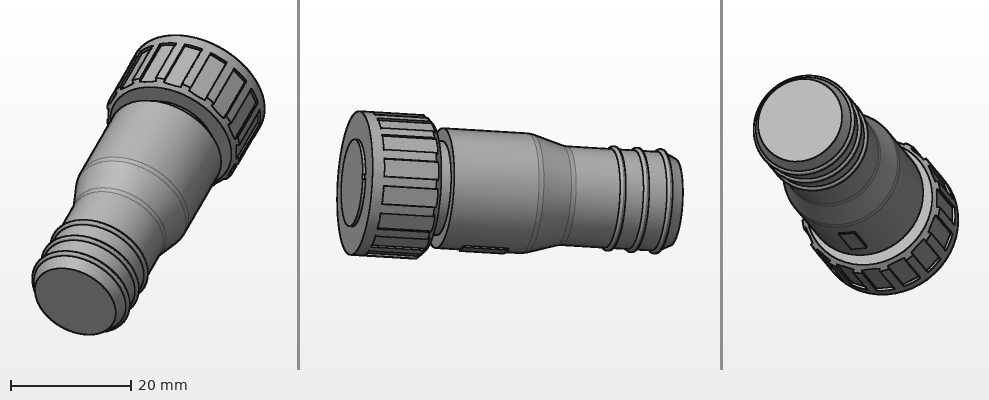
import cadquery as cq

TOTAL_LENGTH = 55.0

TAIL_RADIUS = 8.25
TAIL_TIP_RADIUS = 7.25
TAIL_TIP_LENGTH = 2.05
RING_RADIUS = 0.5
RING_PITCH = 4.0
RING_COUNT = 3

BODY_RADIUS = 10.0
NECK_RADIUS = 7.85
TAPER_START = 19.1
TAPER_LENGTH = 5.95
TAPER_FILLET = 3.0
BODY_END = 40.0
SELECTION_MARGIN = 0.55

NUT_RADIUS = 12.0
NUT_START = 42.4
NUT_CHAMFER = 1.1
NUT_COLLAR = 2.05
GRIP_COUNT = 16
GRIP_WIDTH = 3.1
GRIP_DEPTH = 0.5

INSERT_RADIUS = 7.25
INSERT_HEIGHT = 0.5
KEY_TOP = -0.2
KEY_WIDTH = 0.75
KEY_DEPTH = 0.5

MARK_WIDTH = 2.7
MARK_LENGTH = 7.6
MARK_HEIGHT = 0.2
MARK_START = 28.55

NUT_END = TOTAL_LENGTH - INSERT_HEIGHT


def disc(radius, start, end):
    """Solid cylinder along Y between two positions."""
    return cq.Workplane("XZ", origin=(0, start, 0)).circle(radius).extrude(start - end)


def make_tail_and_body():
    """Hose tail with a conical tip, widening through a blended taper into the body."""
    taper_end = TAPER_START + TAPER_LENGTH
    profile = [
        (0, 0),
        (TAIL_TIP_RADIUS, 0),
        (TAIL_RADIUS, TAIL_TIP_LENGTH),
        (TAIL_RADIUS, TAPER_START),
        (BODY_RADIUS, taper_end),
        (BODY_RADIUS, BODY_END),
        (0, BODY_END),
    ]
    body = cq.Workplane("XY").polyline(profile).close().revolve(360, (0, 0, 0), (0, 1, 0))
    reach = BODY_RADIUS + SELECTION_MARGIN
    taper_zone = cq.selectors.BoxSelector(
        (-reach, TAPER_START - SELECTION_MARGIN, -reach),
        (reach, taper_end + SELECTION_MARGIN, reach),
        boundingbox=True,
    )
    blend_edges = body.edges("%CIRCLE").edges(taper_zone)
    return blend_edges.fillet(TAPER_FILLET)


def make_ring(position):
    """Round ring whose section is centred on the tail surface."""
    return (
        cq.Workplane("XY")
        .center(TAIL_RADIUS, position)
        .circle(RING_RADIUS)
        .revolve(360, (-TAIL_RADIUS, 0, 0), (-TAIL_RADIUS, 1, 0))
    )


def make_nut():
    """Chamfered nut with flat-bottomed grip slots that run out through the chamfer."""
    nut = disc(NUT_RADIUS, NUT_START, NUT_END).faces("<Y").chamfer(NUT_CHAMFER)
    slot_length = NUT_END - NUT_COLLAR - NUT_START
    slot = cq.Workplane("XY").box(GRIP_WIDTH, slot_length, 2 * GRIP_DEPTH)
    slot = slot.translate((0, NUT_START + slot_length / 2, NUT_RADIUS))
    for index in range(GRIP_COUNT):
        angle = index * 360 / GRIP_COUNT
        nut = nut.cut(slot.rotate((0, 0, 0), (0, 1, 0), angle))
    return nut


def make_insert():
    """Insert rim with a small key slot beside its -X side."""
    insert = disc(INSERT_RADIUS, NUT_END, TOTAL_LENGTH)
    key = cq.Workplane("XY").box(2 * KEY_DEPTH, INSERT_HEIGHT, KEY_WIDTH)
    key_height = KEY_TOP - KEY_WIDTH / 2
    return insert.cut(key.translate((-INSERT_RADIUS, NUT_END + INSERT_HEIGHT / 2, key_height)))


def make_mark():
    """Flat pad that stands slightly out of the lowest line of the body."""
    pad_depth = BODY_RADIUS + MARK_HEIGHT
    pad = cq.Workplane("XY").box(MARK_WIDTH, MARK_LENGTH, pad_depth)
    return pad.translate((0, MARK_START + MARK_LENGTH / 2, -pad_depth / 2))


result = make_tail_and_body()
for ring_index in range(RING_COUNT):
    result = result.union(make_ring(TAIL_TIP_LENGTH + RING_RADIUS + ring_index * RING_PITCH))
result = result.union(disc(NECK_RADIUS, BODY_END, NUT_START))
result = result.union(make_nut())
result = result.union(make_insert())
result = result.union(make_mark())
result = result.translate((0, -TOTAL_LENGTH / 2, 0))